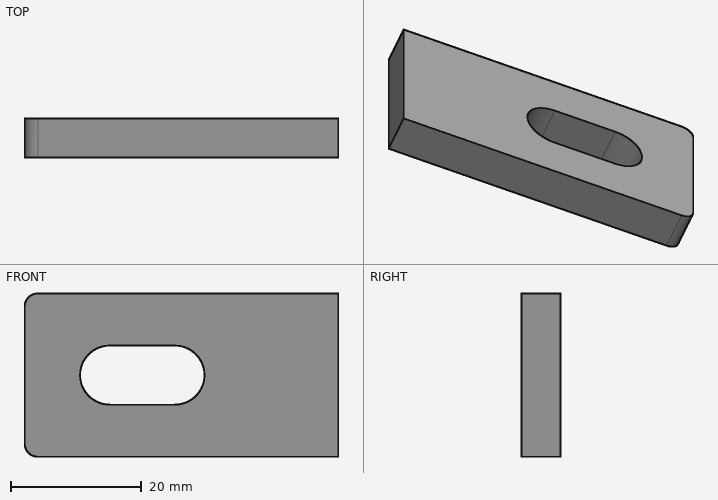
import cadquery as cq

plate_length = 48.0
plate_thickness = 6.0
plate_height = 25.0
corner_radius = 2.0

slot_length = 19.0
slot_width = 9.0
slot_end_margin = 8.5

slot_center_x = -plate_length / 2 + slot_end_margin + slot_length / 2


def make_plate():
    """Rectangular plate with the two corners at its -X end rounded."""
    plate = cq.Workplane("XY").box(plate_length, plate_thickness, plate_height)
    return plate.faces("<X").edges("|Y").fillet(corner_radius)


def make_slot():
    """Round-ended slot body that runs through the plate thickness."""
    return (
        cq.Workplane("XZ")
        .center(slot_center_x, 0)
        .slot2D(slot_length, slot_width)
        .extrude(plate_thickness, both=True)
    )


result = make_plate().cut(make_slot())